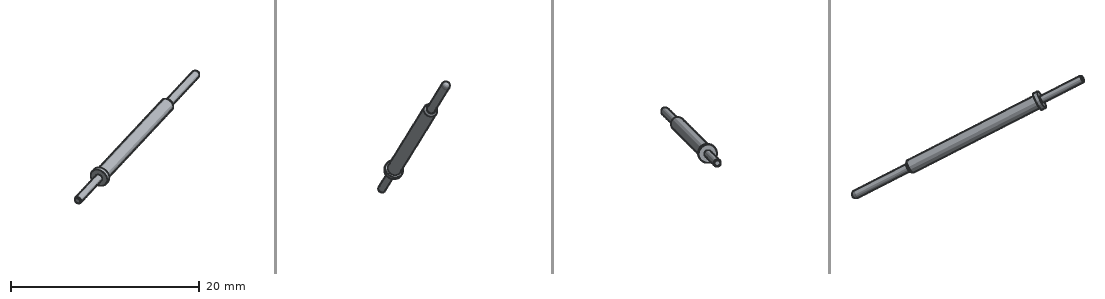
import cadquery as cq

total_length = 28.0
tail_length = 5.0
flange_thickness = 0.5
barrel_end_from_tip = 6.75

tail_diameter = 0.8
flange_diameter = 2.0
barrel_diameter = 1.48
plunger_diameter = 0.9

tail_chamfer = 0.1
barrel_chamfer = 0.25

tail_end = -total_length / 2
flange_front = tail_end + tail_length
flange_back = flange_front + flange_thickness
plunger_tip = total_length / 2
barrel_end = plunger_tip - barrel_end_from_tip
plunger_radius = plunger_diameter / 2
dome_start = plunger_tip - plunger_radius


def cylinder(diameter, start, end):
    """Solid cylinder on the Y axis between two stations."""
    plane = cq.Plane(origin=(0, start, 0), xDir=(1, 0, 0), normal=(0, 1, 0))
    return cq.Workplane(plane).circle(diameter / 2).extrude(end - start)


tail = cylinder(tail_diameter, tail_end, flange_front).faces("<Y").chamfer(tail_chamfer)

flange = cylinder(flange_diameter, flange_front, flange_back)

barrel = cylinder(barrel_diameter, flange_back, barrel_end).faces(">Y").chamfer(barrel_chamfer)

plunger = cylinder(plunger_diameter, barrel_end, dome_start)
dome = (
    cq.Workplane("XY")
    .moveTo(0, dome_start)
    .lineTo(plunger_radius, dome_start)
    .radiusArc((0, plunger_tip), -plunger_radius)
    .close()
    .revolve(360, (0, 0, 0), (0, 1, 0))
)

result = tail.union(flange).union(barrel).union(plunger).union(dome)